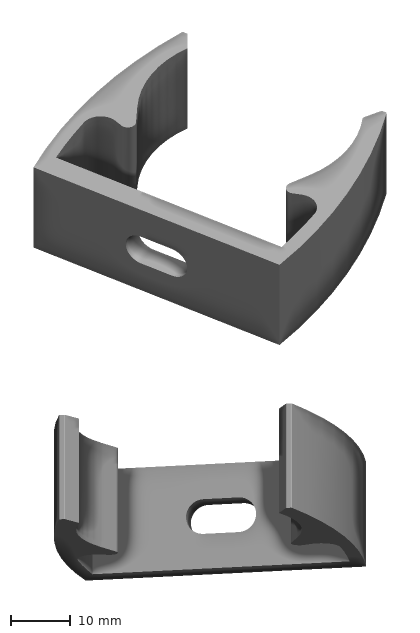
import cadquery as cq
import math

width = 49.9
depth = 42.0
height = 18.0

floor_thickness = 4.05
wall_thickness = 2.5
wall_radius = 85.65
widest_y = 13.0

seat_radius = 18.9
seat_y = 30.7

nose_x = -16.2
nose_y = 17.85
nose_radius = 1.4
relief_radius = 3.3
relief_y = 13.9

lip_y = 38.9
tip_inner_x = -18.9
tip_round = 0.25

slot_length = 12.0
slot_width = 6.0


def polar(center, radius, angle):
    """Point on a circle at an angle in radians."""
    return (center[0] + radius * math.cos(angle), center[1] + radius * math.sin(angle))


def on_left(center, radius, y):
    """Point on the left half of a circle at a given Y."""
    return (center[0] - math.sqrt(radius**2 - (y - center[1]) ** 2), y)


def crossing_tangent(first, first_radius, second, second_radius, side):
    """Ends of a line touching two circles that lie on opposite sides of it.

    Side +1 or -1 turns the touching points counterclockwise or clockwise
    from the line of centres.
    """
    direction = math.atan2(second[1] - first[1], second[0] - first[0])
    turn = math.acos((first_radius + second_radius) / math.dist(first, second))
    angle = direction + side * turn
    return polar(first, first_radius, angle), polar(second, second_radius, angle + math.pi)


def make_left_half():
    """Left arm with its half of the base, up to the plane X = 0."""
    wall_center = (wall_radius - width / 2, widest_y)
    inner_radius = wall_radius - wall_thickness
    seat_center = (0, seat_y)

    relief_center = on_left(wall_center, inner_radius - relief_radius, relief_y)
    nose_center = (nose_x, nose_y)

    base_corner = on_left(wall_center, wall_radius, 0)
    widest_point = (-width / 2, widest_y)
    tip_outer = on_left(wall_center, wall_radius, depth)
    lip = on_left(seat_center, seat_radius, lip_y)
    seat_end, nose_start = crossing_tangent(seat_center, seat_radius, nose_center, nose_radius, -1)
    nose_end, relief_start = crossing_tangent(
        nose_center, nose_radius, relief_center, relief_radius, 1
    )
    nose_apex = polar(nose_center, nose_radius, -math.pi / 4)
    relief_top = (relief_center[0], relief_y + relief_radius)
    wall_angle = math.atan2(relief_y - widest_y, relief_center[0] - wall_center[0])
    relief_end = polar(wall_center, inner_radius, wall_angle)
    wall_middle = on_left(wall_center, inner_radius, (relief_end[1] + floor_thickness) / 2)
    floor_corner = on_left(wall_center, inner_radius, floor_thickness)

    half = (
        cq.Workplane("XY")
        .moveTo(0, 0)
        .lineTo(*base_corner)
        .threePointArc(widest_point, tip_outer)
        .lineTo(tip_inner_x, depth)
        .lineTo(*lip)
        .threePointArc((-seat_radius, seat_y), seat_end)
        .lineTo(*nose_start)
        .threePointArc(nose_apex, nose_end)
        .lineTo(*relief_start)
        .threePointArc(relief_top, relief_end)
        .threePointArc(wall_middle, floor_corner)
        .lineTo(0, floor_thickness)
        .close()
        .extrude(height / 2, both=True)
    )
    tip_edges = cq.selectors.BoxSelector(
        (-width, lip_y - tip_round, -height), (0, depth + tip_round, height)
    )
    return half.edges("|Z").edges(tip_edges).fillet(tip_round)


def make_slot():
    return (
        cq.Workplane("XZ")
        .slot2D(slot_length, slot_width)
        .extrude(-floor_thickness)
    )


left_half = make_left_half()
clip = left_half.union(left_half.mirror("YZ")).clean()
result = clip.cut(make_slot())